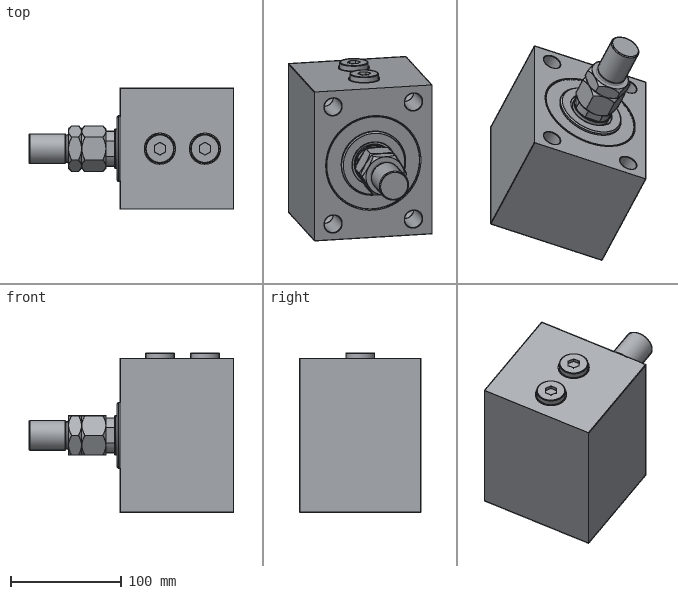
import cadquery as cq
import math


HOUSING_LENGTH = 103.0
HOUSING_WIDTH = 110.0
HOUSING_HEIGHT = 140.0
HOUSING_EDGE_CHAMFER = 0.4
TOP_FACE_Z = HOUSING_HEIGHT / 2

MOUNT_HOLE_DIAMETER = 16.4
MOUNT_HOLE_CHAMFER = 0.4
MOUNT_HOLE_DEPTH = 33.5
MOUNT_HOLE_SPACING_Y = 75.0
MOUNT_HOLE_SPACING_Z = 110.1
DRILL_POINT_ANGLE = 118.0

GLAND_DIAMETER = 86.7
GLAND_DEPTH = 18.6
GLAND_BORE_CHAMFER = 1.1
COLLAR_DIAMETER = 59.9
COLLAR_LENGTH = 3.0
COLLAR_CHAMFER = 1.3
WIPER_RECESS_DIAMETER = 40.5
WIPER_RECESS_DEPTH = 1.9

ROD_DIAMETER = 36.0
ROD_PROTRUSION = 5.0
NECK_DIAMETER = 35.0
NECK_LENGTH = 7.8
NECK_ACROSS_FLATS = 32.0
ROD_TIP_X = -(ROD_PROTRUSION + NECK_LENGTH)

HEX_ACROSS_FLATS = 36.0
HEX_FACE_DIAMETER = 35.7
LARGE_HEX_LENGTH = 22.1
SMALL_HEX_LENGTH = 12.0
STUD_DIAMETER = 27.2
STUD_LENGTH = 35.9
STUD_TIP_CHAMFER = 1.0
UNDERCUT_DIAMETER = 25.0
UNDERCUT_LENGTH = 2.0
UNDERCUT_FILLET = 1.0
SMALL_HEX_X = ROD_TIP_X - LARGE_HEX_LENGTH
STUD_BASE_X = SMALL_HEX_X - SMALL_HEX_LENGTH

PLUG_DIAMETER = 26.0
PLUG_PROTRUSION = 4.8
PLUG_TOP_CHAMFER = 0.5
PLUG_SOCKET_ACROSS_FLATS = 10.0
PLUG_SOCKET_DEPTH = 3.0
SPOT_FACE_DIAMETER = 28.3
SPOT_FACE_DEPTH = 0.5
FIRST_PLUG_X = 36.0
PLUG_SPACING = 41.0
PLUG_POSITIONS_X = [FIRST_PLUG_X, FIRST_PLUG_X + PLUG_SPACING]


def hexagon_circumdiameter(across_flats):
    """Corner-to-corner size of a hexagon."""
    return across_flats / math.cos(math.pi / 6)


def rod_along_x(start_x, length, diameter):
    """Round bar on the cylinder axis, running from start_x toward +X."""
    return cq.Workplane("YZ", origin=(start_x, 0, 0)).circle(diameter / 2).extrude(length)


def revolve_about_x(points):
    """Turn a closed outline of (x, radius) points about the cylinder axis."""
    return cq.Workplane("XY").polyline(points).close().revolve(360, (0, 0, 0), (1, 0, 0))


def gland_bore():
    """Bore for the gland, with a chamfered mouth at the mounting face."""
    radius = GLAND_DIAMETER / 2
    return revolve_about_x([
        (0, 0),
        (0, radius + GLAND_BORE_CHAMFER),
        (GLAND_BORE_CHAMFER, radius),
        (GLAND_DEPTH, radius),
        (GLAND_DEPTH, 0),
    ])


def mount_hole():
    """Blind hole with a chamfered mouth and a drill point, on the cylinder axis."""
    radius = MOUNT_HOLE_DIAMETER / 2
    point_length = radius / math.tan(math.radians(DRILL_POINT_ANGLE / 2))
    return revolve_about_x([
        (0, 0),
        (0, radius + MOUNT_HOLE_CHAMFER),
        (MOUNT_HOLE_CHAMFER, radius),
        (MOUNT_HOLE_DEPTH, radius),
        (MOUNT_HOLE_DEPTH + point_length, 0),
    ])


def make_housing():
    housing = cq.Workplane("XY").box(
        HOUSING_LENGTH, HOUSING_WIDTH, HOUSING_HEIGHT, centered=(False, True, True)
    )
    housing = housing.edges("|X").chamfer(HOUSING_EDGE_CHAMFER)
    housing = housing.cut(gland_bore())
    for side_y in (-1, 1):
        for side_z in (-1, 1):
            hole_y = side_y * MOUNT_HOLE_SPACING_Y / 2
            hole_z = side_z * MOUNT_HOLE_SPACING_Z / 2
            housing = housing.cut(mount_hole().translate((0, hole_y, hole_z)))
    for plug_x in PLUG_POSITIONS_X:
        spot_face = (
            cq.Workplane("XY", origin=(plug_x, 0, TOP_FACE_Z))
            .circle(SPOT_FACE_DIAMETER / 2)
            .extrude(-SPOT_FACE_DEPTH)
        )
        housing = housing.cut(spot_face)
    return housing


def make_gland():
    """Guide bush flush with the mounting face, with a raised collar around the rod."""
    gland = rod_along_x(0, GLAND_DEPTH, GLAND_DIAMETER)
    collar = rod_along_x(-COLLAR_LENGTH, COLLAR_LENGTH, COLLAR_DIAMETER)
    collar = collar.faces("<X").chamfer(COLLAR_CHAMFER)
    wiper_recess = rod_along_x(-COLLAR_LENGTH, WIPER_RECESS_DEPTH, WIPER_RECESS_DIAMETER)
    rod_bore = rod_along_x(-COLLAR_LENGTH, COLLAR_LENGTH + GLAND_DEPTH, ROD_DIAMETER)
    return gland.union(collar).cut(wiper_recess).cut(rod_bore)


def make_rod():
    """Piston rod with four wrench flats on its turned-down neck."""
    rod = rod_along_x(-ROD_PROTRUSION, ROD_PROTRUSION + GLAND_DEPTH, ROD_DIAMETER)
    rod = rod.faces("<X").chamfer((ROD_DIAMETER - NECK_DIAMETER) / 2)
    neck = rod_along_x(ROD_TIP_X, NECK_LENGTH, NECK_DIAMETER)
    wrench_square = (
        cq.Workplane("YZ", origin=(ROD_TIP_X, 0, 0))
        .rect(NECK_ACROSS_FLATS, NECK_ACROSS_FLATS)
        .extrude(NECK_LENGTH)
    )
    return rod.union(neck.intersect(wrench_square))


def chamfered_hexagon(start_x, length):
    """Hexagon along X with flats at top and bottom and 45-degree cones on both ends."""
    corner_diameter = hexagon_circumdiameter(HEX_ACROSS_FLATS)
    hexagon = (
        cq.Workplane("YZ", origin=(start_x, 0, 0)).polygon(6, corner_diameter).extrude(length)
    )
    end_cones = rod_along_x(start_x, length, corner_diameter)
    end_cones = end_cones.faces("<X or >X").chamfer((corner_diameter - HEX_FACE_DIAMETER) / 2)
    return hexagon.intersect(end_cones)


def make_rod_end():
    """Stud with an undercut filleted into the hexagon face, carried by a short and a long hexagon."""
    stud_tip_x = STUD_BASE_X - STUD_LENGTH
    stud_radius = STUD_DIAMETER / 2
    undercut_radius = UNDERCUT_DIAMETER / 2
    undercut_x = STUD_BASE_X - UNDERCUT_LENGTH
    stud_outline = (
        cq.Workplane("XY")
        .moveTo(stud_tip_x, 0)
        .lineTo(stud_tip_x, stud_radius - STUD_TIP_CHAMFER)
        .lineTo(stud_tip_x + STUD_TIP_CHAMFER, stud_radius)
        .lineTo(undercut_x - (stud_radius - undercut_radius), stud_radius)
        .lineTo(undercut_x, undercut_radius)
        .lineTo(STUD_BASE_X - UNDERCUT_FILLET, undercut_radius)
        .radiusArc((STUD_BASE_X, undercut_radius + UNDERCUT_FILLET), -UNDERCUT_FILLET)
        .lineTo(STUD_BASE_X, 0)
        .close()
    )
    stud = stud_outline.revolve(360, (0, 0, 0), (1, 0, 0))
    small_hexagon = chamfered_hexagon(STUD_BASE_X, SMALL_HEX_LENGTH)
    large_hexagon = chamfered_hexagon(SMALL_HEX_X, LARGE_HEX_LENGTH)
    return stud.union(small_hexagon).union(large_hexagon)


def make_plug(plug_x):
    """Screw plug standing on the floor of its spot face, with a hexagon socket."""
    plug = (
        cq.Workplane("XY", origin=(plug_x, 0, TOP_FACE_Z - SPOT_FACE_DEPTH))
        .circle(PLUG_DIAMETER / 2)
        .extrude(SPOT_FACE_DEPTH + PLUG_PROTRUSION)
        .faces(">Z")
        .chamfer(PLUG_TOP_CHAMFER)
    )
    socket = (
        cq.Workplane("XY", origin=(plug_x, 0, TOP_FACE_Z + PLUG_PROTRUSION))
        .transformed(rotate=(0, 0, 90))
        .polygon(6, hexagon_circumdiameter(PLUG_SOCKET_ACROSS_FLATS))
        .extrude(-PLUG_SOCKET_DEPTH)
    )
    return plug.cut(socket)


housing = make_housing()
gland = make_gland()
rod = make_rod()
rod_end = make_rod_end()
plugs = [make_plug(plug_x) for plug_x in PLUG_POSITIONS_X]

bodies = [housing, gland, rod, rod_end, *plugs]

result = cq.Compound.makeCompound([body.solids().val() for body in bodies])